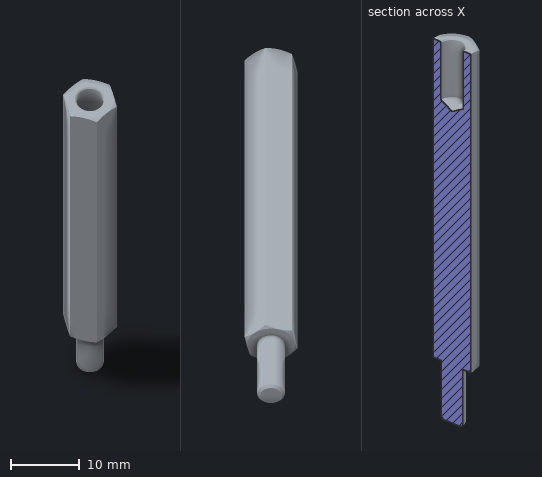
import cadquery as cq
import math

total_length = 65.0
stud_length = 10.0
side_count = 6
across_flats = 7.0
stud_diameter = 4.0
stud_chamfer = 0.4
hole_diameter = 4.0
hole_depth = 10.0
drill_tip_angle = 118.0
mouth_diameter = 4.4
end_face_diameter = 6.95
end_chamfer_angle = 30.0

body_length = total_length - stud_length
across_corners = across_flats / math.cos(math.pi / side_count)
corner_radius = across_corners / 2
end_face_radius = end_face_diameter / 2
end_chamfer_height = (corner_radius - end_face_radius) * math.tan(math.radians(end_chamfer_angle))
hole_radius = hole_diameter / 2
mouth_radius = mouth_diameter / 2
mouth_depth = mouth_radius - hole_radius
drill_tip_height = hole_radius / math.tan(math.radians(drill_tip_angle / 2))


def make_body():
    """Hexagonal bar along Z with its corners turned off at both ends."""
    bar = (
        cq.Workplane("XY")
        .workplane(offset=stud_length)
        .polygon(side_count, across_corners)
        .extrude(body_length)
    )
    turned_envelope = (
        cq.Workplane("XY")
        .workplane(offset=stud_length)
        .circle(corner_radius)
        .extrude(body_length)
        .faces("<Z or >Z")
        .chamfer(end_chamfer_height, corner_radius - end_face_radius)
    )
    return bar.intersect(turned_envelope)


def make_stud():
    """Round stud below the body with a chamfered tip."""
    return (
        cq.Workplane("XY")
        .circle(stud_diameter / 2)
        .extrude(stud_length)
        .faces("<Z")
        .chamfer(stud_chamfer)
    )


def make_hole():
    """Blind hole from the top with a countersunk mouth and a conical bottom."""
    hole_bottom = total_length - hole_depth
    return (
        cq.Workplane("XZ")
        .moveTo(0, total_length)
        .lineTo(mouth_radius, total_length)
        .lineTo(hole_radius, total_length - mouth_depth)
        .lineTo(hole_radius, hole_bottom)
        .lineTo(0, hole_bottom - drill_tip_height)
        .close()
        .revolve(360, (0, 0, 0), (0, 1, 0))
    )


result = make_body().union(make_stud()).cut(make_hole())